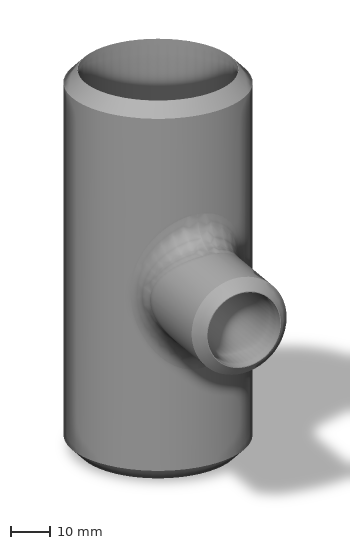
import cadquery as cq

run_length = 104.4
run_diameter = 48.3
run_wall = 3.7
run_bevel = 3.5

branch_reach = 52.2
branch_diameter = 26.7
branch_wall = 3.1
branch_bevel = 2.9

junction_radius = 8.0


def run_cylinder(diameter):
    """Full-length cylinder along the main pipe axis."""
    return cq.Workplane("XY").circle(diameter / 2).extrude(run_length / 2, both=True)


def branch_cylinder(diameter):
    """Cylinder from the main pipe axis out to the branch end."""
    return cq.Workplane("YZ").circle(diameter / 2).extrude(branch_reach)


body = run_cylinder(run_diameter).union(branch_cylinder(branch_diameter))
junction_zone = cq.selectors.BoxSelector(
    (0, -branch_diameter, -branch_diameter),
    (branch_reach - branch_bevel, branch_diameter, branch_diameter),
)
body = body.edges(junction_zone).edges("not %LINE").fillet(junction_radius)
body = body.faces("<Z or >Z").edges().chamfer(run_bevel)
body = body.faces(">X").edges().chamfer(branch_bevel)

run_bore = run_cylinder(run_diameter - 2 * run_wall)
branch_bore = branch_cylinder(branch_diameter - 2 * branch_wall)
result = body.cut(run_bore).cut(branch_bore)